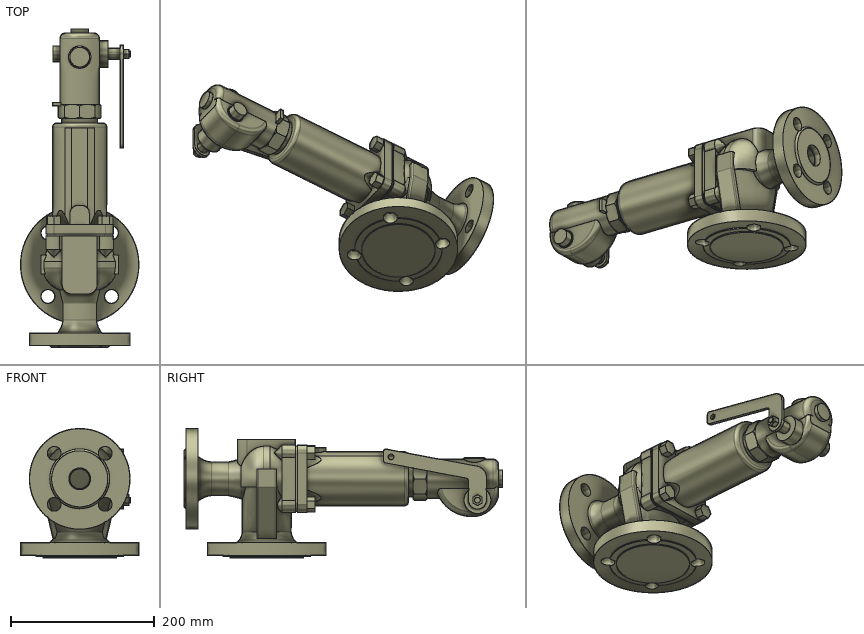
import cadquery as cq
import math


hex_sides = 6
hex_turn = 30

inlet_face = -115.0
inlet_flange_radius = 70.0
inlet_flange_front = -112.5
inlet_flange_back = -95.2
inlet_face_radius = 39.0
inlet_step_radius = 41.5
inlet_bolt_circle = 100.0
inlet_bolt_hole = 19.0
inlet_pipe_radius = 23.5
inlet_neck_radius = 29.2
inlet_neck_foot = -93.0
inlet_foot_radius = 31.0
inlet_neck_start = -77.0
inlet_bore = 30.0
inlet_seat_bore = 27.5
inlet_seat_start = -106.5
inlet_bore_end = -44.5

outlet_face = -110.0
outlet_flange_radius = 82.5
outlet_flange_bottom = -106.5
outlet_flange_top = -88.5
outlet_face_radius = 51.0
outlet_step_radius = 60.5
outlet_step_height = 1.8
outlet_bolt_circle = 125.0
outlet_bolt_hole = 19.0
outlet_pipe_radius = 34.0
outlet_neck_radius = 38.0
outlet_neck_foot = -85.0
outlet_foot_radius = 41.5
outlet_neck_start = -74.0
flange_bolt_count = 4

flare_fullness = 0.3

chamber_radius = 51.5
chamber_half_band = 4.5
chamber_cheek_radius = 44.5
chamber_cheek = -23.5
chamber_front = -35.5
chamber_front_radius = 28.0
shoulder_end = -53.0
skirt_top = -11.5
rib_half_width = 13.5
rib_edge_fillet = 1.8
rib_top = 13.7
rib_bottom = -83.0
rib_reach_top = 54.0
rib_reach_bottom = 37.0
pad_half_width = 24.5
pad_top = 55.0
pad_front = -40.8
pad_corner = 13.5

joint_half_size = 47.0
joint_corner = 11.0
joint_bolt_offset = 36.0
joint_side_waist = 45.0
joint_top_waist = 43.5
housing_joint_back = 21.3
housing_joint_face = 40.0
spigot_inset = 1.5
bonnet_joint_face = 42.5
bonnet_joint_top = 56.0
boss_tip = 10.0
bolt_diameter = 12.0
bolt_head_height = 11.5
bolt_head_corners = 21.0

bonnet_radius = 37.5
bonnet_end = 196.5
bonnet_end_fillet = 5.5
strip_top = 37.5
strip_half_top = 11.0
strip_half_base = 20.5
strip_base = 32.0
strip_end = 189.5
clearance_end = 76.0
clearance_wide = 21.0
clearance_narrow = 13.0
nameplate_half_width = 13.5
nameplate_corner = 10.5
nameplate_end = 82.5
nameplate_top = 43.5

cap_radius = 27.5
cap_end = 322.0
cap_end_fillet = 8.0
collar_corners = 60.0
collar_sides = 8
collar_start = 203.5
collar_end = 222.5
collar_chamfer = 1.8
cap_neck_radius = 50.0 / 2
end_plug_diameter = 25.0
end_plug_end = 328.0
top_plug_diameter = 31.0
top_plug_y = 288.5
top_plug_top = 29.5
top_plug_chamfer = 1.8
tab_reach = 37.5
tab_start = 220.5
tab_end = 225.5
tab_half_height = 9.0
bulge_half_width = 24.0
bulge_fillet = 7.0
bulge_bottom = -52.5
bulge_bottom_y = 285.5
bulge_back_z = -24.5
bulge_front = 236.0
bulge_front_z = -17.5
bulge_top = -11.5

shaft_y = 293.0
shaft_z = -29.5
shaft_diameter = 16.0
shaft_inner_end = 22.0
bearing_diameter = 37.0
bearing_end = 39.5
side_pin_diameter = 22.0
side_pin_reach = 37.0
side_pin_base_diameter = 25.0
side_pin_base_reach = 25.5
stud_diameter = 8.0
stud_end = 70.5
lever_inner = 56.3
lever_outer = 60.5
lever_eye_radius = 12.5
lever_tip_y = 162.0
lever_arm_width = 19.0
lever_slope = math.radians(10.7)
lever_top_z = 15.0
lever_elbow_radius = 15.5
lever_inner_radius = 4.5
lever_tip_radius = 3.5
lever_hole = 8.0
lever_hole_inset = 10.5
nut_corners = 15.0
nut_end = 68.2


def cylinder_y(radius, start, end, x=0, z=0):
    """Cylinder along Y between two Y positions."""
    axis = cq.Vector(0, 1, 0)
    return cq.Workplane(cq.Solid.makeCylinder(radius, end - start, cq.Vector(x, start, z), axis))


def cylinder_x(radius, start, end, y, z):
    """Cylinder along X between two X positions."""
    axis = cq.Vector(1, 0, 0)
    return cq.Workplane(cq.Solid.makeCylinder(radius, end - start, cq.Vector(start, y, z), axis))


def cylinder_z(radius, start, end, x=0, y=0):
    """Cylinder along Z between two Z positions."""
    return cq.Workplane(cq.Solid.makeCylinder(radius, end - start, cq.Vector(x, y, start)))


def cone_y(start_radius, end_radius, start, end, x=0, z=0):
    """Cone along Y between two Y positions."""
    axis = cq.Vector(0, 1, 0)
    base = cq.Vector(x, start, z)
    return cq.Workplane(cq.Solid.makeCone(start_radius, end_radius, end - start, base, axis))


def box_between(x_range, y_range, z_range):
    """Box given by its limits on each axis."""
    ranges = (x_range, y_range, z_range)
    sizes = [high - low for low, high in ranges]
    centre = tuple((low + high) / 2 for low, high in ranges)
    return cq.Workplane().box(*sizes).translate(centre)


def square_plate(half_size, corner, start, end):
    """Square plate across the spring axis with rounded corners."""
    plate = box_between((-half_size, half_size), (start, end), (-half_size, half_size))
    return plate.edges("|Y").fillet(corner)


def joint_corners():
    """X and Z of the four joint bolts."""
    signs = (-1, 1)
    return [(sx * joint_bolt_offset, sz * joint_bolt_offset) for sx in signs for sz in signs]


def flange_hole_centres(bolt_circle):
    """Bolt hole centres of a pipe flange, straddling its two symmetry axes."""
    radius = bolt_circle / 2
    angles = [math.pi / flange_bolt_count * (2 * i + 1) for i in range(flange_bolt_count)]
    return [(radius * math.cos(a), radius * math.sin(a)) for a in angles]




def inlet_branch():
    """Inlet pipe with its flared neck, drilled flange and raised face, turned about Y."""
    flare_middle = (
        inlet_pipe_radius + flare_fullness * (inlet_neck_radius - inlet_pipe_radius),
        (inlet_neck_start + inlet_neck_foot) / 2,
    )
    branch = (
        cq.Workplane("XY")
        .moveTo(0, inlet_face)
        .lineTo(inlet_face_radius, inlet_face)
        .lineTo(inlet_step_radius, inlet_flange_front)
        .lineTo(inlet_flange_radius, inlet_flange_front)
        .lineTo(inlet_flange_radius, inlet_flange_back)
        .lineTo(inlet_foot_radius, inlet_flange_back)
        .lineTo(inlet_neck_radius, inlet_neck_foot)
        .threePointArc(flare_middle, (inlet_pipe_radius, inlet_neck_start))
        .lineTo(inlet_pipe_radius, shoulder_end)
        .lineTo(chamber_front_radius, chamber_front)
        .lineTo(chamber_front_radius, 0)
        .lineTo(0, 0)
        .close()
        .revolve(360, (0, 0), (0, 1))
    )
    for x, z in flange_hole_centres(inlet_bolt_circle):
        branch = branch.cut(cylinder_y(inlet_bolt_hole / 2, inlet_face, inlet_flange_back, x, z))
    return branch


def outlet_branch():
    """Outlet neck, drilled flange and raised face, turned about Z."""
    step_bottom = outlet_flange_bottom - outlet_step_height
    flare_middle = (
        outlet_pipe_radius + flare_fullness * (outlet_neck_radius - outlet_pipe_radius),
        (outlet_neck_start + outlet_neck_foot) / 2,
    )
    branch = (
        cq.Workplane("XZ")
        .moveTo(0, outlet_face)
        .lineTo(outlet_face_radius, outlet_face)
        .lineTo(outlet_face_radius, step_bottom)
        .lineTo(outlet_step_radius, step_bottom)
        .lineTo(outlet_step_radius, outlet_flange_bottom)
        .lineTo(outlet_flange_radius, outlet_flange_bottom)
        .lineTo(outlet_flange_radius, outlet_flange_top)
        .lineTo(outlet_foot_radius, outlet_flange_top)
        .lineTo(outlet_neck_radius, outlet_neck_foot)
        .threePointArc(flare_middle, (outlet_pipe_radius, outlet_neck_start))
        .lineTo(0, outlet_neck_start)
        .close()
        .revolve(360, (0, 0), (0, 1))
    )
    for x, y in flange_hole_centres(outlet_bolt_circle):
        branch = branch.cut(
            cylinder_z(outlet_bolt_hole / 2, outlet_face, outlet_flange_top, x, y)
        )
    return branch


def chamber():
    """Rounded valve chamber turned about Y, cut off where the skirt takes over at the front."""
    bulb = (
        cq.Workplane("XY")
        .moveTo(0, chamber_front)
        .lineTo(chamber_front_radius, chamber_front)
        .threePointArc((chamber_cheek_radius, chamber_cheek), (chamber_radius, -chamber_half_band))
        .lineTo(chamber_radius, chamber_half_band)
        .lineTo(joint_side_waist, housing_joint_back)
        .lineTo(0, housing_joint_back)
        .close()
        .revolve(360, (0, 0), (0, 1))
    )
    below_skirt_top = box_between(
        (-chamber_radius, chamber_radius), (chamber_front, 0), (-chamber_radius, skirt_top)
    )
    return bulb.cut(below_skirt_top)


def chamber_skirt():
    """Skirt that narrows from the wide chamber to the round outlet neck."""
    return (
        cq.Workplane("XY", origin=(0, 0, outlet_neck_start))
        .circle(outlet_pipe_radius)
        .workplane(offset=skirt_top - outlet_neck_start)
        .ellipse(chamber_radius, outlet_pipe_radius)
        .loft(ruled=True)
    )


def side_ribs():
    """One rib across both sides, upright at the top and sloping in toward the outlet."""
    right_side = [
        (rib_reach_bottom, rib_bottom),
        (rib_reach_top, skirt_top),
        (rib_reach_top, rib_top),
    ]
    left_side = [(-x, z) for x, z in reversed(right_side)]
    return (
        cq.Workplane("XZ")
        .polyline(right_side + left_side)
        .close()
        .extrude(rib_half_width, both=True)
        .faces("<Y or >Y")
        .edges("not(|X)")
        .fillet(rib_edge_fillet)
    )


def top_pad():
    """Flat pad on top of the chamber with rounded front corners."""
    pad = box_between((-pad_half_width, pad_half_width), (pad_front, housing_joint_face), (0, pad_top))
    return pad.edges("|Z and <Y").fillet(pad_corner)


def housing_joint():
    """Joint flange of the housing with four corner bosses ending in cones."""
    joint = box_between(
        (-joint_side_waist, joint_side_waist),
        (housing_joint_back, housing_joint_face),
        (-joint_top_waist, joint_top_waist),
    )
    joint = joint.edges("|Y").fillet(joint_corner)
    for x, z in joint_corners():
        joint = joint.union(cylinder_y(joint_corner, housing_joint_back, housing_joint_face, x, z))
        joint = joint.union(cone_y(0, joint_corner, boss_tip, housing_joint_back, x, z))
    return joint


def make_housing():
    """Housing with both flanged branches, the stepped inlet bore and four blind bolt holes."""
    housing = (
        inlet_branch()
        .union(outlet_branch())
        .union(chamber())
        .union(chamber_skirt())
        .union(side_ribs())
        .union(top_pad())
        .union(housing_joint())
    )
    housing = housing.cut(cylinder_y(inlet_bore / 2, inlet_face, inlet_seat_start))
    housing = housing.cut(cylinder_y(inlet_seat_bore / 2, inlet_seat_start, inlet_bore_end))
    for x, z in joint_corners():
        housing = housing.cut(
            cylinder_y(bolt_diameter / 2, housing_joint_back, housing_joint_face, x, z)
        )
    return housing




def make_bonnet():
    """Spring bonnet with its joint flange, flat-topped strip and nameplate pad."""
    bonnet = cylinder_y(bonnet_radius, bonnet_joint_top, bonnet_end)
    bonnet = bonnet.faces(">Y").edges().fillet(bonnet_end_fillet)
    strip = (
        cq.Workplane("XZ", origin=(0, strip_end, 0))
        .polyline(
            [
                (-strip_half_base, 0),
                (-strip_half_base, strip_base),
                (-strip_half_top, strip_top),
                (strip_half_top, strip_top),
                (strip_half_base, strip_base),
                (strip_half_base, 0),
            ]
        )
        .close()
        .extrude(strip_end - bonnet_joint_top)
    )
    bonnet = bonnet.union(strip)
    for x, z in joint_corners():
        bonnet = bonnet.cut(
            cone_y(clearance_wide, clearance_narrow, bonnet_joint_top, clearance_end, x, z)
        )
    nameplate = box_between(
        (-nameplate_half_width, nameplate_half_width),
        (bonnet_joint_top, nameplate_end),
        (0, nameplate_top),
    )
    nameplate = nameplate.edges("|Z and >Y").fillet(nameplate_corner)
    bonnet = bonnet.union(nameplate)
    bonnet = bonnet.union(
        square_plate(joint_half_size, joint_corner, bonnet_joint_face, bonnet_joint_top)
    )
    spigot = square_plate(
        joint_half_size - spigot_inset, joint_corner, housing_joint_face, bonnet_joint_face
    )
    bonnet = bonnet.union(spigot)
    for x, z in joint_corners():
        bonnet = bonnet.cut(
            cylinder_y(bolt_diameter / 2, housing_joint_face, bonnet_joint_top, x, z)
        )
    return bonnet




def make_joint_bolt(x, z):
    """Hexagon bolt through the bonnet flange; heads on one diagonal are turned by half a flat."""
    turn = hex_turn if x * z < 0 else 0
    head = (
        cq.Workplane("XZ")
        .polygon(hex_sides, bolt_head_corners)
        .extrude(-bolt_head_height)
        .rotate((0, 0, 0), (0, 1, 0), turn)
        .translate((x, bonnet_joint_top, z))
    )
    return head.union(cylinder_y(bolt_diameter / 2, housing_joint_back, bonnet_joint_top, x, z))




def level_arc_radius(start, end):
    """Radius of an arc that is level at one end and passes through the other."""
    across = end[0] - start[0]
    height = end[1] - start[1]
    return (across**2 + height**2) / (2 * abs(height))


def cap_bulge():
    """Rounded housing for the lifting cam under the cap, flat on both sides."""
    back_end = (cap_end, bulge_back_z)
    bottom = (bulge_bottom_y, bulge_bottom)
    front_end = (bulge_front, bulge_front_z)
    bulge = (
        cq.Workplane("YZ")
        .moveTo(*back_end)
        .radiusArc(bottom, level_arc_radius(bottom, back_end))
        .radiusArc(front_end, level_arc_radius(bottom, front_end))
        .lineTo(bulge_front, bulge_top)
        .lineTo(cap_end, bulge_top)
        .close()
        .extrude(bulge_half_width, both=True)
    )
    rim = cq.selectors.BoxSelector(
        (-cap_radius, bulge_front + bulge_fillet, bulge_bottom),
        (cap_radius, cap_end - bulge_fillet, bulge_top - bulge_fillet),
    )
    return bulge.faces("<X or >X").edges(rim).fillet(bulge_fillet)


def wrench_collar():
    """Eight-sided wrench collar with both ends bevelled."""
    collar = (
        cq.Workplane("XZ", origin=(0, collar_end, 0))
        .polygon(collar_sides, collar_corners)
        .extrude(collar_end - collar_start)
    )
    bevel = cylinder_y(collar_corners / 2, collar_start, collar_end).edges().chamfer(collar_chamfer)
    return collar.intersect(bevel)


def make_cap():
    """Cap with its collar, plugs, tab, cam bulge, side pin and bored shaft bearing."""
    cap = cylinder_y(cap_radius, collar_start, cap_end).faces(">Y").edges().fillet(cap_end_fillet)
    top_plug = cylinder_z(top_plug_diameter / 2, 0, top_plug_top, y=top_plug_y)
    side_pin_base = cylinder_x(side_pin_base_diameter / 2, -side_pin_base_reach, 0, shaft_y, shaft_z)
    cap = (
        cap.union(cap_bulge())
        .union(wrench_collar())
        .union(cylinder_y(cap_neck_radius, bonnet_end, collar_end))
        .union(cylinder_y(end_plug_diameter / 2, collar_end, end_plug_end))
        .union(top_plug.faces(">Z").edges().chamfer(top_plug_chamfer))
        .union(box_between((-tab_reach, 0), (tab_start, tab_end), (-tab_half_height, tab_half_height)))
        .union(side_pin_base)
        .union(cylinder_x(side_pin_diameter / 2, -side_pin_reach, 0, shaft_y, shaft_z))
        .union(cylinder_x(bearing_diameter / 2, 0, bearing_end, shaft_y, shaft_z))
    )
    return cap.cut(cylinder_x(shaft_diameter / 2, shaft_inner_end, bearing_end, shaft_y, shaft_z))




def make_shaft():
    """Lever shaft with a thinner stud for the lever and its nut."""
    shaft = cylinder_x(shaft_diameter / 2, shaft_inner_end, lever_inner, shaft_y, shaft_z)
    return shaft.union(cylinder_x(stud_diameter / 2, lever_inner, stud_end, shaft_y, shaft_z))


def make_lever():
    """Flat lever: an upright leg with a round eye, and a long arm rising toward its tip."""
    leg_outer = shaft_y + lever_eye_radius
    leg_inner = shaft_y - lever_eye_radius
    tip_rise = (leg_outer - lever_tip_y) * math.tan(lever_slope)
    arm_drop = lever_arm_width / math.cos(lever_slope)
    tip_top = lever_top_z + tip_rise
    inner_z = lever_top_z + 2 * lever_eye_radius * math.tan(lever_slope) - arm_drop
    plate = (
        cq.Workplane("YZ", origin=(lever_inner, 0, 0))
        .moveTo(leg_outer, shaft_z)
        .lineTo(leg_outer, lever_top_z)
        .lineTo(lever_tip_y, tip_top)
        .lineTo(lever_tip_y, tip_top - arm_drop)
        .lineTo(leg_inner, inner_z)
        .lineTo(leg_inner, shaft_z)
        .threePointArc((shaft_y, shaft_z - lever_eye_radius), (leg_outer, shaft_z))
        .close()
        .extrude(lever_outer - lever_inner)
    )

    def edge_at(y, z):
        return cq.selectors.NearestToPointSelector(((lever_inner + lever_outer) / 2, y, z))

    plate = plate.edges(edge_at(leg_outer, lever_top_z)).fillet(lever_elbow_radius)
    plate = plate.edges(edge_at(leg_inner, inner_z)).fillet(lever_inner_radius)
    plate = plate.edges("|X and <Y").fillet(lever_tip_radius)
    hole_y = lever_tip_y + lever_hole_inset
    hole_z = tip_top - arm_drop / 2 - lever_hole_inset * math.tan(lever_slope)
    plate = plate.cut(cylinder_x(lever_hole / 2, lever_inner, lever_outer, hole_y, hole_z))
    return plate.cut(cylinder_x(stud_diameter / 2, lever_inner, lever_outer, shaft_y, shaft_z))


def make_lever_nut():
    """Hexagon nut that holds the lever on the stud."""
    nut = (
        cq.Workplane("YZ", origin=(lever_outer, shaft_y, shaft_z))
        .polygon(hex_sides, nut_corners)
        .extrude(nut_end - lever_outer)
        .rotate((0, shaft_y, shaft_z), (1, shaft_y, shaft_z), hex_turn)
    )
    return nut.cut(cylinder_x(stud_diameter / 2, lever_outer, nut_end, shaft_y, shaft_z))


housing = make_housing()
bonnet = make_bonnet()
joint_bolts = [make_joint_bolt(x, z) for x, z in joint_corners()]
cap = make_cap()
shaft = make_shaft()
lever = make_lever()
lever_nut = make_lever_nut()

result = cq.Compound.makeCompound(
    [
        housing.val(),
        bonnet.val(),
        *[bolt.val() for bolt in joint_bolts],
        cap.val(),
        shaft.val(),
        lever.val(),
        lever_nut.val(),
    ]
)